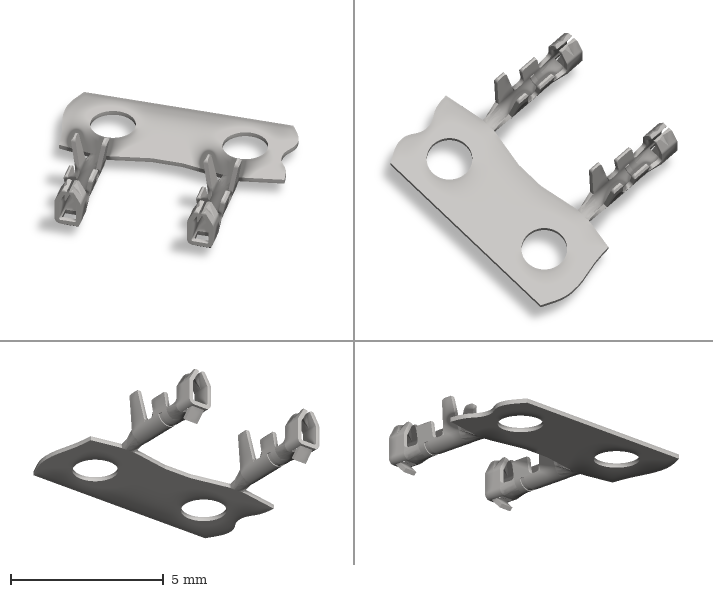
import cadquery as cq
import math


sheet = 0.15
pitch = 4.5
strip_back = 7.1
neck_y = 3.85
neck_half_width = 0.26
feed_hole_diameter = 1.5
feed_hole_y = 5.6

trough_radius = 0.4
trough_floor_angle = 40.0
wing_tilt = 10.0
rim_height = 0.35
root_fillet = 0.14
wall_over_rim = 0.175
wing_bevel = 0.06

insulation_back, insulation_front = 3.15, 2.44
wire_back, wire_front = 1.98, 1.29
box_length = 0.695

insulation_wing_length = 1.18
insulation_wing_root_inset = 0.01
insulation_wing_tip_inset = 0.15
insulation_wing_corner = 0.14
wire_wing_length = 0.59
wire_wing_corner = 0.13

serration_y = 1.635
serration_width = 0.175
serration_depth = 0.03

box_half_width = 0.45
box_bend = 0.21
roof_bend_z = 0.84
roof_bend = 0.24
roof_lean = 30.0
leaf_length = 0.495
leaf_corner = 0.095
dent_width = 0.36
dent_depth = 0.06
leaf_gap = 0.08

lance_half_width = 0.25
lance_root = 0.11
lance_drop = 0.37
window_back = 0.6

top_limit = 2.395


def polar(center, radius, degrees):
    """Point on a circle, the angle measured from straight down towards +X."""
    angle = math.radians(degrees)
    return center[0] + radius * math.sin(angle), center[1] - radius * math.cos(angle)


def along(start, distance, lean):
    """Point reached from start going upwards, leaning outwards by the given degrees."""
    angle = math.radians(lean)
    return start[0] + distance * math.sin(angle), start[1] + distance * math.cos(angle)


def mirrored(point):
    return -point[0], point[1]


def section_plane(y):
    return cq.Workplane("XZ", origin=(0, y, 0))


def bent_channel(plane, center_x, bend_radius, floor_angle, bend_angle, wall, tip_bevel=0.0):
    """Closed section of a sheet folded into a channel.

    The floor is an arc reaching floor_angle to each side of straight down, or flat when that is zero.
    The bends go on to bend_angle and end in straight walls, bevelled at the outer tip if asked.
    """
    center = (center_x, bend_radius)
    inner_radius = bend_radius - sheet
    middle_angle = (floor_angle + bend_angle) / 2
    lean = 90 - bend_angle
    full_wall = wall + tip_bevel

    def half_line(radius):
        """Bend start, bend middle and bend end at one radius."""
        return [polar(center, radius, angle) for angle in (floor_angle, middle_angle, bend_angle)]

    outer_start, outer_mid, outer_end = half_line(bend_radius)
    inner_start, inner_mid, inner_end = half_line(inner_radius)
    tips = [along(outer_end, wall, lean), along(inner_end, full_wall, lean)]
    if tip_bevel:
        tips.insert(1, along(polar(center, bend_radius - sheet / 2, bend_angle), full_wall, lean))

    section = plane.moveTo(*mirrored(outer_start))
    if floor_angle:
        section = section.threePointArc((0, 0), outer_start)
    else:
        section = section.lineTo(*outer_start)
    section = section.threePointArc(outer_mid, outer_end)
    for tip in tips:
        section = section.lineTo(*tip)
    section = section.lineTo(*inner_end).threePointArc(inner_mid, inner_start)
    if floor_angle:
        section = section.threePointArc((0, sheet), mirrored(inner_start))
    else:
        section = section.lineTo(*mirrored(inner_start))
    section = section.threePointArc(mirrored(inner_mid), mirrored(inner_end))
    for tip in reversed(tips):
        section = section.lineTo(*mirrored(tip))
    section = section.lineTo(*mirrored(outer_end))
    return section.threePointArc(mirrored(outer_mid), mirrored(outer_start)).close()


def trough_section(y, wall, bevel=0.0):
    bend_angle = 90 - wing_tilt
    return bent_channel(section_plane(y), 0, trough_radius, trough_floor_angle, bend_angle, wall, bevel)


def trough(back, front, wall, bevel=0.0):
    """Straight stretch of crimp trough between two stations."""
    return trough_section(back, wall, bevel).extrude(back - front)


def loft_between(first, second):
    wires = [first.wires().val(), second.wires().val()]
    return cq.Workplane(cq.Solid.makeLoft(wires, True))


def side_outline(points):
    """Region in the YZ plane, wide enough in X to cover one contact."""
    width = 4 * box_half_width
    return cq.Workplane("YZ", origin=(-width / 2, 0, 0)).polyline(points).close().extrude(width)


def carrier_strip():
    """Flat strip with torn ends, a front edge sloping to each contact, and two feed holes."""
    shoulder = 0.32
    left_front, left_bulge, left_back = (-1.405, 4.04), (-1.74, 5.985), (-1.4, strip_back)
    left_flank = (-1.52, 4.83)
    right_front, right_back = (6.24, 4.1), (5.72, strip_back)
    right_trough, right_crest = (5.82, 5.39), (6.105, 6.23)
    right_flank, right_shoulder = (6.1, 4.73), (6.02, 6.61)
    valley_y, valley_inset = 4.11, 1.72
    up, down = (0, 1), (0, -1)

    outline = (
        cq.Workplane("XY")
        .moveTo(*left_front)
        .lineTo(-shoulder, neck_y)
        .lineTo(shoulder, neck_y)
        .lineTo(valley_inset, valley_y)
        .lineTo(pitch - valley_inset, valley_y)
        .lineTo(pitch - shoulder, neck_y)
        .lineTo(pitch + shoulder, neck_y)
        .lineTo(*right_front)
        .spline([right_flank, right_trough], tangents=[(-0.1, 1), up], includeCurrent=True)
        .spline([right_crest], tangents=[up, up], includeCurrent=True)
        .spline([right_shoulder, right_back], tangents=[up, (-0.6, 1)], includeCurrent=True)
        .lineTo(*left_back)
        .spline([left_bulge], tangents=[(-0.4, -1), down], includeCurrent=True)
        .spline([left_flank, left_front], tangents=[down, (0.1, -1)], includeCurrent=True)
        .close()
        .extrude(sheet)
    )
    holes = (
        cq.Workplane("XY")
        .pushPoints([(0, feed_hole_y), (pitch, feed_hole_y)])
        .circle(feed_hole_diameter / 2)
        .extrude(sheet)
    )
    return outline.cut(holes)


def neck():
    """Flat strip at the carrier curling up into the trough section."""
    bottom_half = neck_half_width / 3
    bend_half = 2 * neck_half_width / 3
    right_side = [
        (bottom_half, 0),
        (bend_half, 0),
        (neck_half_width, 0),
        (neck_half_width, sheet),
        (bend_half, sheet),
        (bottom_half, sheet),
    ]
    left_side = [mirrored(point) for point in reversed(right_side)]
    flat = section_plane(neck_y).polyline(right_side + left_side).close()

    bend_end_z = trough_radius * (1 - math.sin(math.radians(wing_tilt)))
    rim_wall = (rim_height - bend_end_z) / math.cos(math.radians(wing_tilt))
    curled = trough_section(insulation_back, rim_wall)
    return loft_between(flat, curled)


def trim_above_rim(body, back, front):
    """Cut a stretch of wall down to the rim, leaving rounded roots against its neighbours."""
    gap = (
        side_outline([(back, rim_height), (front, rim_height), (front, top_limit), (back, top_limit)])
        .edges("|X and <Z")
        .fillet(root_fillet)
    )
    return body.cut(gap)


def insulation_crimp():
    """Trough with two tall tapered wings."""
    wings = trough(insulation_back, insulation_front, insulation_wing_length, wing_bevel)
    tip_z = wings.val().BoundingBox().zmax
    root = insulation_wing_root_inset
    taper = insulation_wing_tip_inset
    shape = (
        side_outline([
            (insulation_front, 0),
            (insulation_back, 0),
            (insulation_back, rim_height),
            (insulation_back - root, rim_height),
            (insulation_back - taper, tip_z),
            (insulation_front + taper, tip_z),
            (insulation_front + root, rim_height),
            (insulation_front, rim_height),
        ])
        .edges("|X and >Z")
        .fillet(insulation_wing_corner)
    )
    return wings.intersect(shape)


def serration_band(outer_radius, inner_radius):
    """Half ring around the underside of the trough, ending where the wings begin."""
    center = (0, trough_radius)
    bend_angle = 90 - wing_tilt
    ends = [polar(center, radius, bend_angle) for radius in (outer_radius, inner_radius)]
    return (
        section_plane(serration_y + serration_width / 2)
        .moveTo(*mirrored(ends[0]))
        .threePointArc((0, trough_radius - outer_radius), ends[0])
        .lineTo(*ends[1])
        .threePointArc((0, trough_radius - inner_radius), mirrored(ends[1]))
        .close()
        .extrude(serration_width)
    )


def wire_crimp():
    """Trough with two short straight wings and a serration rib pressed up from below."""
    wings = trough(wire_back, wire_front, wire_wing_length, wing_bevel)
    tip_z = wings.val().BoundingBox().zmax
    shape = (
        side_outline([(wire_front, 0), (wire_back, 0), (wire_back, tip_z), (wire_front, tip_z)])
        .edges("|X and >Z")
        .fillet(wire_wing_corner)
    )
    inner_radius = trough_radius - sheet
    groove = serration_band(trough_radius, trough_radius - serration_depth)
    rib = serration_band(inner_radius + sheet / 2, inner_radius - serration_depth)
    return wings.intersect(shape).cut(groove).union(rib)


def middle_trough():
    body = trough(insulation_front, wire_back, wall_over_rim)
    return trim_above_rim(body, insulation_front, wire_back)


def box_transition():
    """Round trough widening into the square box floor."""
    box_wall = trough_radius + wall_over_rim - box_bend
    box_floor = box_half_width - box_bend
    round_end = trough_section(wire_front, wall_over_rim)
    square_end = bent_channel(section_plane(box_length), box_floor, box_bend, 0, 90, box_wall)
    return trim_above_rim(loft_between(round_end, square_end), wire_front, box_length)


def roof_point(offset, distance=0.0):
    """Point on a right roof leaf, offset inwards from its outer face, past the roof bend."""
    center = (box_half_width - roof_bend, roof_bend_z)
    bend_end = polar(center, roof_bend - offset, 90 + roof_lean)
    return along(bend_end, distance, -roof_lean)


def box_half_section():
    """Right half of the box: floor, bent wall and leaning roof leaf."""
    floor_center = (box_half_width - box_bend, box_bend)
    roof_center = (box_half_width - roof_bend, roof_bend_z)
    inner_wall = box_half_width - sheet
    return (
        section_plane(box_length)
        .moveTo(0, 0)
        .lineTo(floor_center[0], 0)
        .threePointArc(polar(floor_center, box_bend, 45), (box_half_width, box_bend))
        .lineTo(box_half_width, roof_bend_z)
        .threePointArc(polar(roof_center, roof_bend, 90 + roof_lean / 2), roof_point(0))
        .lineTo(*roof_point(0, leaf_length))
        .lineTo(*roof_point(sheet, leaf_length))
        .lineTo(*roof_point(sheet))
        .threePointArc(polar(roof_center, roof_bend - sheet, 90 + roof_lean / 2), (inner_wall, roof_bend_z))
        .lineTo(inner_wall, box_bend)
        .threePointArc(polar(floor_center, box_bend - sheet, 45), (floor_center[0], sheet))
        .lineTo(0, sheet)
        .close()
    )


def dent_wedge(offset):
    """Tapered V of the roof dent, its mouth lying on the leaf face at the given offset."""
    middle = box_length / 2
    apex = roof_point(offset)
    mouth = roof_point(offset, leaf_length)
    valley = roof_point(offset + dent_depth, leaf_length)
    corners = [
        cq.Vector(apex[0], middle, apex[1]),
        cq.Vector(mouth[0], middle - dent_width / 2, mouth[1]),
        cq.Vector(mouth[0], middle + dent_width / 2, mouth[1]),
        cq.Vector(valley[0], middle, valley[1]),
    ]
    faces = []
    for skipped in range(len(corners)):
        triangle = [corner for index, corner in enumerate(corners) if index != skipped]
        faces.append(cq.Face.makeFromWires(cq.Wire.makePolygon(triangle, close=True)))
    return cq.Workplane(cq.Solid.makeSolid(cq.Shell.makeShell(faces)))


def contact_box():
    """Box with an open roof of two dented leaves, a floor window and the lance bent out of it."""
    half = box_half_section().extrude(box_length)
    leaf_top = half.val().BoundingBox().zmax
    shape = (
        side_outline([(0, 0), (box_length, 0), (box_length, leaf_top), (0, leaf_top)])
        .edges("|X and >Z")
        .fillet(leaf_corner)
    )
    half = half.intersect(shape).union(dent_wedge(sheet)).cut(dent_wedge(0))
    gap = cq.Workplane("XY").box(leaf_gap, box_length, top_limit, centered=(True, False, False))
    half = half.cut(gap.translate((0, 0, roof_bend_z)))
    box = half.union(half.mirror("YZ"))

    diagonal = sheet / math.sqrt(2)
    window_front = lance_root + sheet * (math.sqrt(2) - 1)
    tip = (lance_root + lance_drop, -lance_drop)
    window = (
        cq.Workplane("XY")
        .moveTo(0, (window_front + window_back) / 2)
        .rect(2 * lance_half_width, window_back - window_front)
        .extrude(sheet)
    )
    lance = (
        cq.Workplane("YZ", origin=(-lance_half_width, 0, 0))
        .polyline([
            (lance_root, 0),
            tip,
            (tip[0] + diagonal, tip[1] + diagonal),
            (window_front, sheet),
            (lance_root, sheet),
        ])
        .close()
        .extrude(2 * lance_half_width)
    )
    return box.cut(window).union(lance)


def contact():
    sections = [insulation_crimp(), middle_trough(), wire_crimp(), box_transition(), contact_box()]
    body = neck()
    for section in sections:
        body = body.union(section)
    return body


terminal = contact()
result = carrier_strip()
for contact_x in (0, pitch):
    result = result.union(terminal.translate((contact_x, 0, 0)))